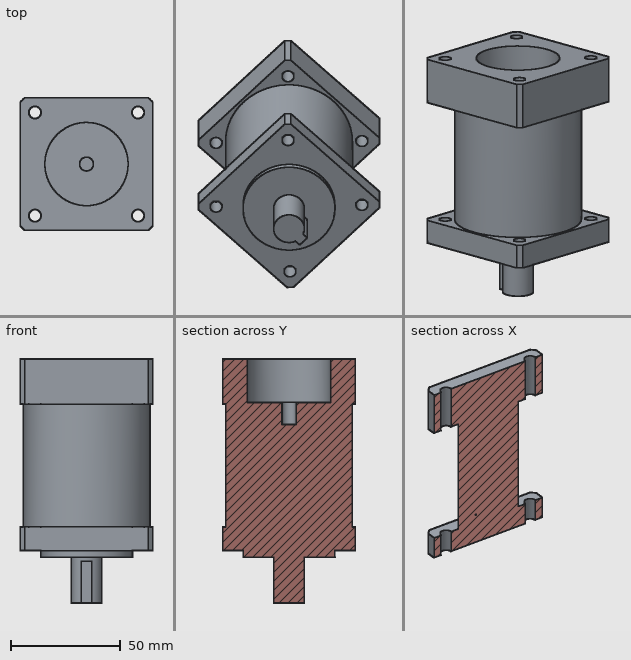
import cadquery as cq

total_height = 111.5
flange_side = 60.5
corner_chamfer = 2.0

shaft_length = 21.0
pilot_height = 3.0
lower_flange_height = 10.8
upper_flange_height = 20.6

shaft_diameter = 14.0
pilot_diameter = 42.0
body_diameter = 58.0
bore_diameter = 38.0
bore_depth = 19.8
socket_diameter = 6.4
socket_depth = 10.0

hole_spacing = 47.0
screw_hole_diameter = 5.5

key_width = 5.0
key_length = 19.2
key_reach = 9.3

pilot_bottom = shaft_length
lower_flange_bottom = pilot_bottom + pilot_height
body_bottom = lower_flange_bottom + lower_flange_height
upper_flange_bottom = total_height - upper_flange_height
body_height = upper_flange_bottom - body_bottom
bore_floor = total_height - bore_depth


def cylinder(diameter, bottom, height):
    return cq.Workplane("XY").workplane(offset=bottom).circle(diameter / 2).extrude(height)


def flange(bottom, height):
    """Square plate with chamfered corners."""
    plate = cq.Workplane("XY").workplane(offset=bottom).rect(flange_side, flange_side).extrude(height)
    return plate.edges("|Z").chamfer(corner_chamfer)


def screw_holes(bottom, height):
    """Four cutting cylinders on the square hole pattern."""
    return (
        cq.Workplane("XY")
        .workplane(offset=bottom)
        .rect(hole_spacing, hole_spacing, forConstruction=True)
        .vertices()
        .circle(screw_hole_diameter / 2)
        .extrude(height)
    )


lower_flange = flange(lower_flange_bottom, lower_flange_height).cut(
    screw_holes(lower_flange_bottom, lower_flange_height)
)
upper_flange = flange(upper_flange_bottom, upper_flange_height).cut(
    screw_holes(upper_flange_bottom, upper_flange_height)
)
body = cylinder(body_diameter, body_bottom, body_height)
pilot = cylinder(pilot_diameter, pilot_bottom, pilot_height)
housing = lower_flange.union(body).union(upper_flange).union(pilot)

bore = cylinder(bore_diameter, bore_floor, bore_depth)
socket = cylinder(socket_diameter, bore_floor - socket_depth, socket_depth)
housing = housing.cut(bore).cut(socket)

shaft = cylinder(shaft_diameter, 0, shaft_length)
key = cq.Workplane("XY").box(key_width, key_reach, key_length, centered=(True, False, False))
key = key.translate((0, -key_reach, 0))

result = housing.union(shaft).union(key)